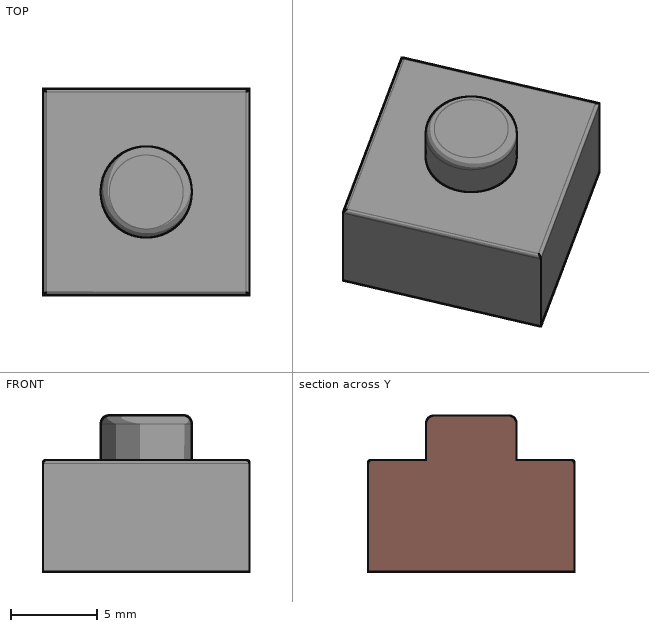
import cadquery as cq

base_side = 12.0
base_height = 6.5
total_height = 9.1
button_diameter = 5.3
base_edge_radius = 0.2
button_edge_radius = 0.5

button_height = total_height - base_height


def make_base():
    """Square block with its four top edges rounded, bottom at Z = 0."""
    block = cq.Workplane("XY").box(base_side, base_side, base_height, centered=(True, True, False))
    return block.faces(">Z").edges().fillet(base_edge_radius)


def make_button():
    """Round button with a rounded rim, standing on the base."""
    button = cq.Workplane("XY").workplane(offset=base_height).circle(button_diameter / 2).extrude(button_height)
    return button.faces(">Z").edges().fillet(button_edge_radius)


result = make_base().union(make_button())